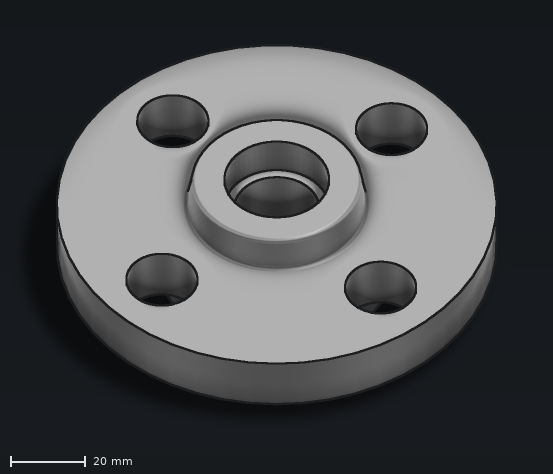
import cadquery as cq

flange_diameter = 117.3
flange_thickness = 15.7

face_diameter = 63.5
face_height = 6.5

hub_height = 9.6
hub_base_diameter = 48.3
hub_taper_angle = 10.0
hub_base_fillet = 1.5
hub_rim_fillet = 1.5

bore_diameter = 22.6
socket_diameter = 27.9
socket_depth = 11.0

bolt_count = 4
bolt_hole_diameter = 19.0
bolt_circle_diameter = 82.6

hub_top_z = flange_thickness + hub_height
overall_height = face_height + hub_top_z


def cylinder(diameter, bottom_z, height, taper=0):
    """Upright cylinder on the Z axis, narrowing upwards if tapered."""
    base = cq.Workplane("XY").workplane(offset=bottom_z).circle(diameter / 2)
    return base.extrude(height, taper=taper)


def hubbed_disc():
    """Disc and hub, with the hub blended at its base and rounded at its rim."""
    disc = cylinder(flange_diameter, 0, flange_thickness)
    hub = cylinder(hub_base_diameter, flange_thickness, hub_height, hub_taper_angle)
    body = disc.union(hub)
    body = body.edges(cq.selectors.RadiusNthSelector(1)).fillet(hub_base_fillet)
    return body.faces(">Z").edges().fillet(hub_rim_fillet)


def stepped_bore():
    """Through bore joined to the wider pipe socket above it."""
    bore = cylinder(bore_diameter, -face_height, overall_height)
    socket = cylinder(socket_diameter, hub_top_z - socket_depth, socket_depth)
    return bore.union(socket)


def bolt_holes():
    """Cylinders that cut the bolt holes through the disc."""
    centres = cq.Workplane("XY").polarArray(bolt_circle_diameter / 2, 0, 360, bolt_count)
    return centres.circle(bolt_hole_diameter / 2).extrude(flange_thickness)


raised_face = cylinder(face_diameter, -face_height, face_height)
result = hubbed_disc().union(raised_face).cut(stepped_bore()).cut(bolt_holes())